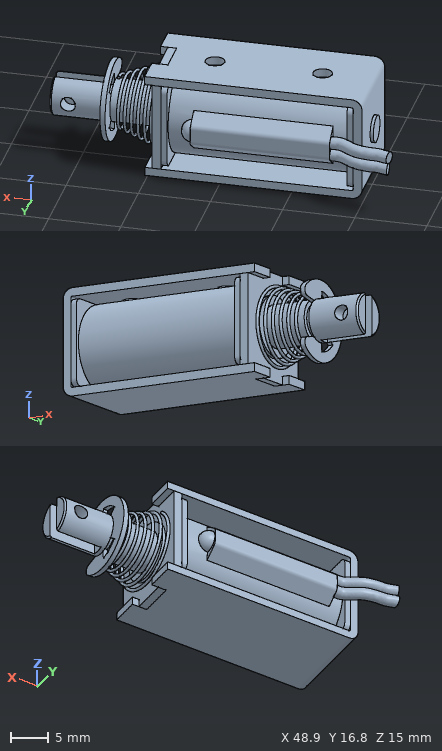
import cadquery as cq
import math


sheet = 1.2
frame_length = 30.1
frame_depth = 13.1
frame_height = 15.0
bend_radius = 1.45
screw_hole_diameter = 2.65
screw_hole_x = (7.05, 21.95)
tab_width = 5.0
inner_height = frame_height - 2 * sheet
plate_x = 27.85
plate_front_x = plate_x + sheet

flange_thickness = 0.9
flange_height = 12.1
flange_corner_radius = 1.0
neck_radius = 4.3
neck_end_x = 29.55
coil_x = sheet + flange_thickness
coil_length = plate_x - flange_thickness - coil_x
coil_radius = 6.2
coil_edge_radius = 0.25

cover_x = 4.15
cover_end_x = 23.45
cover_base_y = 5.85
cover_top_y = 7.95
cover_base_width = 5.65
cover_top_width = 2.55
cover_edge_radius = 0.75
cover_ball_radius = 1.55
cover_ball_y = 6.3

plunger_diameter = 6.0
plunger_radius = plunger_diameter / 2
plunger_start_x = 9.8
plunger_end_x = 44.15
plunger_chamfer = 0.25
slot_width = 1.65
slot_start_x = 37.15
pin_hole_diameter = 2.05
pin_hole_x = 41.6
groove_radius = 2.35
stub_diameter = 3.75
stub_length = 0.45

overall_length = 48.9
lead_diameter = 1.7
lead_spacing = 1.75
lead_end_slope = 17
lead_overhang = lead_diameter / 2 * math.sin(math.radians(lead_end_slope))
lead_end_x = plunger_end_x - overall_length + lead_overhang
lead_path = [(cover_x, 7.05), (2.95, 7.1), (1.5, 7.85), (0.0, 8.65), (-2.2, 8.95), (lead_end_x, 9.45)]
lead_tail = 0.5
square_cut_x = -4.3

clip_x = 35.8
clip_thickness = 0.75
clip_radius = 5.7
clip_tip_y = -3.95
clip_pinch_y = -0.5
clip_mouth_width = 5.85
clip_tip_round = 0.6
pocket_radius = 4.2
pocket_angles = (6, 50)

wire_diameter = 0.45
spring_turns = 5.9
spring_end_x = 35.2
spring_length = spring_end_x - plate_front_x - wire_diameter / 2
spring_pitch = spring_length / spring_turns
spring_end_radius = 3.6
spring_cone_angle = 19.5
spring_end_angle = 6


def x_cylinder(start_x, end_x, radius):
    """Cylinder on the plunger axis between two X positions."""
    return cq.Workplane("YZ").workplane(offset=start_x).circle(radius).extrude(end_x - start_x)


def x_box(start_x, end_x, depth, height):
    """Box centred on the plunger axis between two X positions."""
    return cq.Workplane("YZ").workplane(offset=start_x).rect(depth, height).extrude(end_x - start_x)


def make_frame():
    """U-shaped sheet frame, open toward +X."""
    frame = x_box(0, frame_length, frame_depth, frame_height).edges("|Y and <X").fillet(bend_radius)
    inside = x_box(sheet, frame_length, frame_depth, inner_height)
    frame = frame.cut(inside.edges("|Y and <X").fillet(bend_radius - sheet))
    frame = frame.cut(x_box(plate_x, frame_length, tab_width, frame_height))
    holes = (
        cq.Workplane("XY")
        .pushPoints([(x, 0) for x in screw_hole_x])
        .circle(screw_hole_diameter / 2)
        .extrude(frame_height)
    )
    return frame.cut(holes).cut(x_cylinder(0, sheet, stub_diameter / 2))


def make_end_plate():
    """Plate that closes the frame, with a tab at the top and bottom."""
    plate = x_box(plate_x, plate_front_x, frame_depth, inner_height)
    plate = plate.union(x_box(plate_x, plate_front_x, tab_width, frame_height))
    return plate.cut(x_cylinder(plate_x, plate_front_x, neck_radius))


def make_flange(start_x):
    """Bobbin flange with rounded corners."""
    flange = x_box(start_x, start_x + flange_thickness, frame_depth, flange_height)
    return flange.edges("|X").fillet(flange_corner_radius)


def make_bobbin():
    """Tube with two flanges. Its neck goes through the end plate."""
    bobbin = x_cylinder(sheet, neck_end_x, neck_radius)
    for flange_x in (sheet, plate_x - flange_thickness):
        bobbin = bobbin.union(make_flange(flange_x))
    return bobbin.cut(x_cylinder(sheet, neck_end_x, plunger_radius))


def make_lead_cover():
    """Ridge with sloped sides, rounded top edges and a ball-shaped +X end."""
    ridge = (
        cq.Workplane("YZ")
        .workplane(offset=cover_x)
        .moveTo(cover_base_y, -cover_base_width / 2)
        .lineTo(cover_top_y, -cover_top_width / 2)
        .lineTo(cover_top_y, cover_top_width / 2)
        .lineTo(cover_base_y, cover_base_width / 2)
        .close()
        .extrude(cover_end_x - cover_x)
        .edges("|X and >Y")
        .fillet(cover_edge_radius)
    )
    ball = cq.Workplane("XY").sphere(cover_ball_radius).translate((cover_end_x, cover_ball_y, 0))
    return ridge.union(ball)


def make_coil():
    """Winding between the flanges, with the lead cover on its +Y side."""
    coil = x_cylinder(coil_x, coil_x + coil_length, coil_radius)
    coil = coil.faces("<X or >X").edges().fillet(coil_edge_radius)
    coil = coil.union(make_lead_cover())
    return coil.cut(x_cylinder(coil_x, coil_x + coil_length, neck_radius))


def make_lead(z, tail):
    """Round wire along the lead path, with an optional straight tail at its free end."""
    slope = math.radians(lead_end_slope)
    end_direction = (-math.cos(slope), math.sin(slope))
    path = (
        cq.Workplane("XY")
        .workplane(offset=z)
        .spline(lead_path, tangents=[(-1, 0), end_direction])
    )
    if tail:
        path = path.line(tail * end_direction[0], tail * end_direction[1])
    start_x, start_y = lead_path[0]
    section = cq.Workplane("YZ", origin=(start_x, start_y, z)).circle(lead_diameter / 2)
    return section.sweep(path)


def make_leads():
    """Two leads side by side. The lower one is cut square to the X axis."""
    upper = make_lead(lead_spacing / 2, 0)
    lower = make_lead(-lead_spacing / 2, lead_tail)
    lower = lower.intersect(x_box(square_cut_x, frame_length, 2 * frame_length, frame_height))
    return [upper, lower]


def make_core():
    """Fixed core behind the plunger, riveted through the frame with a stub."""
    core = x_cylinder(sheet, plunger_start_x, plunger_radius)
    return core.union(x_cylinder(-stub_length, sheet, stub_diameter / 2))


def make_plunger():
    """Plunger with a slotted end, a cross hole and a groove for the clip."""
    plunger = x_cylinder(plunger_start_x, plunger_end_x, plunger_radius)
    plunger = plunger.faces(">X").chamfer(plunger_chamfer)
    plunger = plunger.cut(x_box(slot_start_x, plunger_end_x, slot_width, 2 * plunger_radius))
    pin_hole = (
        cq.Workplane("XZ")
        .center(pin_hole_x, 0)
        .circle(pin_hole_diameter / 2)
        .extrude(plunger_radius, both=True)
    )
    groove = x_cylinder(clip_x, clip_x + clip_thickness, plunger_radius).cut(
        x_cylinder(clip_x, clip_x + clip_thickness, groove_radius)
    )
    return plunger.cut(pin_hole).cut(groove)


def clip_plate(points):
    """Flat piece of the clip's thickness with a polygon outline given as (y, z) points."""
    return cq.Workplane("YZ").workplane(offset=clip_x).polyline(points).close().extrude(clip_thickness)


def make_clip():
    """E-clip in the plunger groove, open toward -Y."""
    clip_end_x = clip_x + clip_thickness
    clip = x_cylinder(clip_x, clip_end_x, clip_radius)
    clip = clip.intersect(
        clip_plate(
            [
                (clip_tip_y, -clip_radius),
                (clip_radius, -clip_radius),
                (clip_radius, clip_radius),
                (clip_tip_y, clip_radius),
            ]
        )
    )
    pinch_z = math.sqrt(groove_radius**2 - clip_pinch_y**2)
    mouth_z = clip_mouth_width / 2
    clip = clip.cut(
        clip_plate(
            [
                (clip_pinch_y, -pinch_z),
                (clip_tip_y, -mouth_z),
                (clip_tip_y, mouth_z),
                (clip_pinch_y, pinch_z),
            ]
        )
    )
    clip = clip.edges("|X and <Y").fillet(clip_tip_round)
    clip = clip.cut(x_cylinder(clip_x, clip_end_x, groove_radius))
    reach = 2 * pocket_radius
    for side in (1, -1):
        corners = [
            (reach * math.sin(math.radians(angle)), side * reach * math.cos(math.radians(angle)))
            for angle in pocket_angles
        ]
        pocket = clip_plate([(0, 0), *corners])
        clip = clip.cut(pocket.intersect(x_cylinder(clip_x, clip_end_x, pocket_radius)))
    return clip


def make_spring():
    """Conical spring that widens from the clip toward the end plate."""
    slant = 1 / math.cos(math.radians(spring_cone_angle))
    helix = cq.Wire.makeHelix(
        spring_pitch * slant,
        spring_length * slant,
        spring_end_radius,
        angle=spring_cone_angle,
        lefthand=True,
    )
    spring = (
        cq.Workplane("XZ", origin=(spring_end_radius, 0, 0))
        .circle(wire_diameter / 2)
        .sweep(cq.Workplane(helix), isFrenet=True)
    )
    spring = spring.rotate((0, 0, 0), (0, 1, 0), -90)
    spring = spring.rotate((0, 0, 0), (1, 0, 0), -spring_end_angle)
    return spring.translate((spring_end_x, 0, 0))


leads = make_leads()
bobbin = make_bobbin()
coil = make_coil()
for lead in leads:
    bobbin = bobbin.cut(lead)
    coil = coil.cut(lead)

result = cq.Compound.makeCompound(
    [
        make_frame().val(),
        make_end_plate().val(),
        bobbin.val(),
        coil.val(),
        make_core().val(),
        make_plunger().val(),
        make_clip().val(),
        make_spring().val(),
        *[lead.val() for lead in leads],
    ]
)